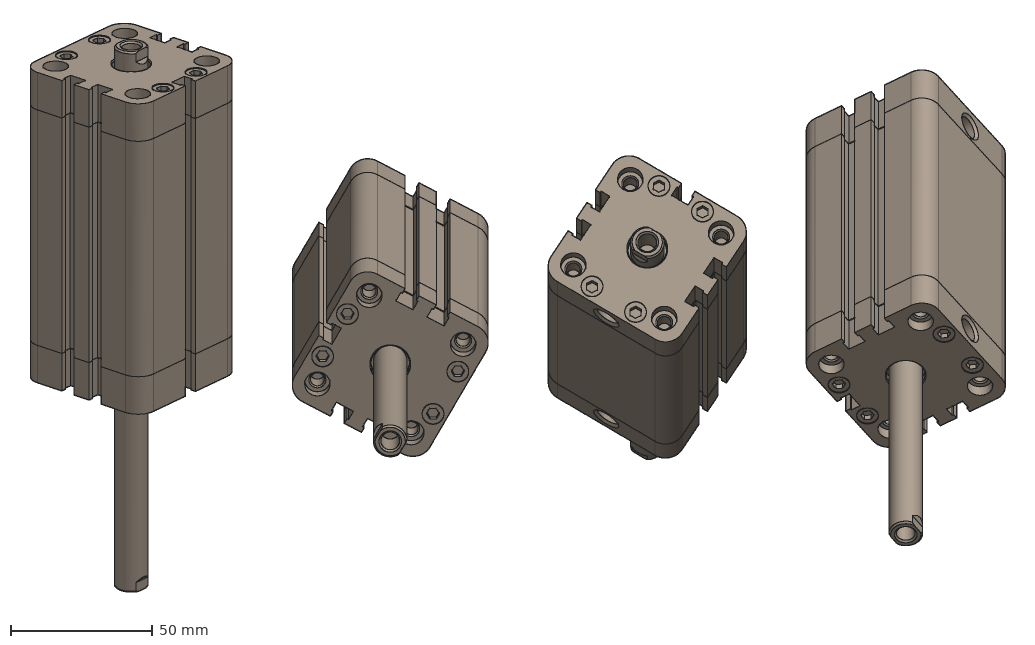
import cadquery as cq


body_width = 54.8
body_length = 120.0
corner_radius = 7.0
cap_length = 14.5

rod_diameter = 12.0
rod_above_body = 7.0
rod_below_body = 82.0
rod_end_chamfer = 0.65
rod_thread_diameter = 6.65
rod_thread_mouth = 8.0
rod_thread_depth = 12.0
flat_spacing = 10.0
flat_length = 3.9
flat_runout = 1.5

rod_recess_diameter = 13.7
rod_recess_mouth = 14.5
rod_recess_depth = 3.0

slot_offset = 6.3
slot_neck_width = 5.6
slot_wide_width = 6.9
slot_lip = 2.0
paired_slot_depth = 5.3
cap_slot_extra_depth = 0.3
single_slot_depth = 5.7

mount_offset = 19.0
mount_counterbore_diameter = 9.0
mount_counterbore_depth = 4.4
mount_mouth_diameter = 6.0
mount_thread_diameter = 4.92
mount_thread_depth = 12.0

screw_x = 22.35
screw_y = 9.1
screw_recess_diameter = 7.7
screw_recess_depth = 0.4
screw_socket_across_corners = 4.6
screw_socket_depth = 2.5

port_diameter = 8.57
port_mouth_diameter = 10.6
port_from_end = 8.0
port_floor_diameter = 40.0

half_width = body_width / 2
body_top = body_length / 2
barrel_length = body_length - 2 * cap_length
barrel_top = barrel_length / 2
rod_top = body_top + rod_above_body
rod_bottom = -body_top - rod_below_body

SIDES = (-1, 1)
UP = cq.Vector(0, 0, 1)
DOWN = cq.Vector(0, 0, -1)
mount_places = [(sx * mount_offset, sy * mount_offset) for sx in SIDES for sy in SIDES]
screw_places = [(sx * screw_x, sy * screw_y) for sx in SIDES for sy in SIDES]


def rod_clearance(length):
    """Cylinder that the rod fills, from z = 0 up."""
    return cq.Workplane("XY").circle(rod_diameter / 2).extrude(length)


def countersink(mouth_diameter, hole_diameter, place, direction):
    """45 degree cone from the mouth of a hole down to the hole itself."""
    depth = (mouth_diameter - hole_diameter) / 2
    cone = cq.Solid.makeCone(mouth_diameter / 2, hole_diameter / 2, depth, place, direction)
    return cq.Workplane(cone)


def t_slot(depth, length):
    """T-slot that opens on the +Y side, from z = 0 up."""
    lip_floor = half_width - slot_lip
    slot_floor = half_width - depth
    neck_half = slot_neck_width / 2
    wide_half = slot_wide_width / 2
    outline = [
        (neck_half, half_width),
        (neck_half, lip_floor),
        (wide_half, lip_floor),
        (wide_half, slot_floor),
        (-wide_half, slot_floor),
        (-wide_half, lip_floor),
        (-neck_half, lip_floor),
        (-neck_half, half_width),
    ]
    return cq.Workplane("XY").polyline(outline).close().extrude(length)


def profile_block(length, paired_depth):
    """Rounded square block with two T-slots on each Y side, one on +X, and the rod bore."""
    block = cq.Workplane("XY").rect(body_width, body_width).extrude(length)
    block = block.edges("|Z").fillet(corner_radius)
    for side in SIDES:
        slot = t_slot(paired_depth, length).translate((side * slot_offset, 0, 0))
        block = block.cut(slot).cut(slot.mirror("XZ"))
    single_slot = t_slot(single_slot_depth, length).rotate((0, 0, 0), (0, 0, 1), -90)
    return block.cut(single_slot).cut(rod_clearance(length))


def cut_rod_recess(cap, face):
    recess = face.circle(rod_recess_diameter / 2).extrude(-rod_recess_depth)
    mouth = countersink(rod_recess_mouth, rod_recess_diameter, cq.Vector(0, 0, cap_length), DOWN)
    return cap.cut(recess).cut(mouth)


def cut_mounting_holes(cap, face):
    holes = face.pushPoints(mount_places)
    cap = cap.cut(holes.circle(mount_counterbore_diameter / 2).extrude(-mount_counterbore_depth))
    cap = cap.cut(holes.circle(mount_thread_diameter / 2).extrude(-mount_thread_depth))
    counterbore_floor = cap_length - mount_counterbore_depth
    for x, y in mount_places:
        place = cq.Vector(x, y, counterbore_floor)
        cap = cap.cut(countersink(mount_mouth_diameter, mount_thread_diameter, place, DOWN))
    return cap


def cut_screw_heads(cap, face):
    recesses = face.pushPoints(screw_places).circle(screw_recess_diameter / 2).extrude(-screw_recess_depth)
    cap = cap.cut(recesses)
    socket = face.polygon(6, screw_socket_across_corners).extrude(-screw_socket_depth)
    socket = socket.rotate((0, 0, 0), (0, 0, 1), 30)
    for x, y in screw_places:
        cap = cap.cut(socket.translate((x, y, 0)))
    return cap


def cut_port(cap):
    port_z = cap_length - port_from_end
    port = cq.Workplane("YZ").center(0, port_z).circle(port_diameter / 2).extrude(-half_width)
    port = port.cut(cq.Workplane("XY").circle(port_floor_diameter / 2).extrude(cap_length))
    place = cq.Vector(-half_width, 0, port_z)
    mouth = countersink(port_mouth_diameter, port_diameter, place, cq.Vector(1, 0, 0))
    return cap.cut(port).cut(mouth)


def make_cap():
    """End cap that sits on z = 0, with its outer face at the top."""
    cap = profile_block(cap_length, paired_slot_depth + cap_slot_extra_depth)
    face = cq.Workplane("XY").workplane(offset=cap_length)
    cap = cut_rod_recess(cap, face)
    cap = cut_mounting_holes(cap, face)
    cap = cut_screw_heads(cap, face)
    return cut_port(cap)


def make_barrel():
    barrel = profile_block(barrel_length, paired_slot_depth)
    return barrel.translate((0, 0, -barrel_top))


def wrench_flat(end_z, inward, side):
    """Cutter for one flat at a rod end, with a sloped runout toward the middle of the rod."""
    flat_x = side * flat_spacing / 2
    rim_x = side * rod_diameter / 2
    flat_end = end_z + inward * flat_length
    runout_end = flat_end + inward * flat_runout
    outline = [(flat_x, end_z), (flat_x, flat_end), (rim_x, runout_end), (rim_x, end_z)]
    return cq.Workplane("XZ").polyline(outline).close().extrude(rod_diameter / 2, both=True)


def make_rod():
    """Through rod with chamfered ends, each with two wrench flats and a threaded hole."""
    rod = rod_clearance(rod_top - rod_bottom).translate((0, 0, rod_bottom))
    rod = rod.faces("<Z or >Z").chamfer(rod_end_chamfer)
    for end_z, inward, direction in ((rod_top, -1, DOWN), (rod_bottom, 1, UP)):
        for side in SIDES:
            rod = rod.cut(wrench_flat(end_z, inward, side))
        end_plane = cq.Workplane("XY").workplane(offset=end_z)
        rod = rod.cut(end_plane.circle(rod_thread_diameter / 2).extrude(inward * rod_thread_depth))
        place = cq.Vector(0, 0, end_z)
        rod = rod.cut(countersink(rod_thread_mouth, rod_thread_diameter, place, direction))
    return rod


barrel = make_barrel()
cap_shape = make_cap()
top_cap = cap_shape.translate((0, 0, barrel_top))
bottom_cap = top_cap.mirror("XY")
rod = make_rod()

result = cq.Compound.makeCompound([barrel.val(), top_cap.val(), bottom_cap.val(), rod.val()])